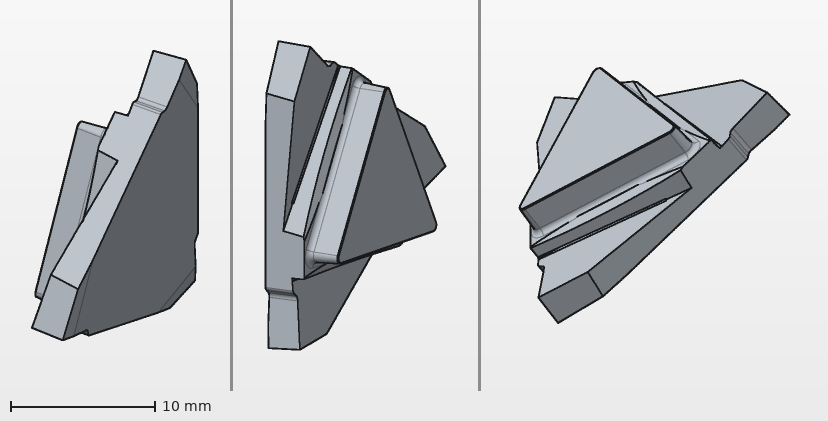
import cadquery as cq
import math

TURNS = (0, 120, 240)

total_height = 5.53
plate_height = 3.19
side_distance = 7.1
notch_start = (-side_distance, -6.03)
notch_lip_middle = (-7.06, -6.15)
notch_lip_end = (-6.95, -6.27)
notch_slope_end = (-6.72, -6.48)
notch_corner_middle = (-6.63, -6.63)
notch_end = (-6.6, -6.83)
tip = (-6.87, -10.4)
bend_u = -3.15
tip_relief = 0.22
flank_relief = 0.06

wall_distance = 5.17
wing_tip_height = 2.65
wing_slope_u = 0.058
wing_slope_v = 0.094
wall_draft = 4.0
wall_mid_height = 2.15
strip_width = 0.2
strip_rise = 0.09
strip_end_u = 3.15
back_tilt_length = 1.5
back_tilt_drop = 0.1

boss_distance = 3.92
boss_corner_radius = 0.43
boss_draft = 4.0
boss_edge_chamfer = 0.06
base_fillet = 0.43

scoop_radius = 86.12
scoop_depth = 0.32
scoop_centre_u = -0.65
scoop_run = 0.86

margin = 21.53


def turned(point, angle):
    """Turn a flat point about the centre."""
    c = math.cos(math.radians(angle))
    s = math.sin(math.radians(angle))
    return (point[0] * c - point[1] * s, point[0] * s + point[1] * c)


def body_outline(work, flank_inset, tip_inset):
    """Outline of the three-tipped body, with the tips drawn in."""
    bend_v = (bend_u - 2 * side_distance) / math.sqrt(3)
    slope_end = (notch_slope_end[0] + flank_inset, notch_slope_end[1])
    corner_middle = (notch_corner_middle[0] + flank_inset, notch_corner_middle[1])
    corner_end = (notch_end[0] + flank_inset, notch_end[1])
    tip_point = (tip[0] + flank_inset, tip[1] + tip_inset)
    bend = (bend_u + tip_inset * math.sqrt(3), bend_v + tip_inset)
    work = work.moveTo(*notch_start)
    for angle in TURNS:
        if angle:
            work = work.lineTo(*turned(notch_start, angle))
        work = work.threePointArc(turned(notch_lip_middle, angle), turned(notch_lip_end, angle))
        work = work.lineTo(*turned(slope_end, angle))
        work = work.threePointArc(turned(corner_middle, angle), turned(corner_end, angle))
        work = work.lineTo(*turned(tip_point, angle))
        work = work.lineTo(*turned(bend, angle))
    return work.close()


def make_body():
    back = body_outline(cq.Workplane("XY"), 0, 0)
    both = body_outline(back.workplane(offset=plate_height), flank_relief, tip_relief)
    return both.loft(ruled=True, combine=True)


def boss_with_fillet(body):
    boss_height = total_height - plate_height
    base_distance = boss_distance + boss_height * math.tan(math.radians(boss_draft))
    profile = (
        cq.Sketch()
        .regularPolygon(2 * base_distance, 3, angle=0)
        .vertices()
        .fillet(boss_corner_radius + base_distance - boss_distance)
    )
    boss = (
        cq.Workplane("XY", origin=(0, 0, plate_height))
        .placeSketch(profile)
        .extrude(boss_height, taper=boss_draft)
        .faces(">Z")
        .chamfer(boss_edge_chamfer)
    )
    joined = body.union(boss)
    plate_face = joined.faces("|Z").faces(cq.selectors.NearestToPointSelector((0, 0, plate_height)))
    return joined.newObject([plate_face.val().innerWires()[0]]).edges().fillet(base_fillet)


def wing_height(u, v):
    return wing_tip_height - wing_slope_u * (u - tip[0]) - wing_slope_v * (v - tip[1])


def wing_cutter():
    """Space in front of one sloping wing, less the strip left in the corner."""
    slope = cq.Plane(
        origin=(tip[0], tip[1], wing_tip_height),
        xDir=(1, 0, -wing_slope_u),
        normal=(wing_slope_u, wing_slope_v, 1),
    )
    above = cq.Workplane(slope).rect(2 * margin, 2 * margin).extrude(margin)
    wall_lean = wall_mid_height * math.tan(math.radians(wall_draft))
    outside = (
        cq.Workplane("YZ", origin=(-margin, 0, 0))
        .polyline(
            [
                (-wall_distance - wall_lean, 0),
                (-wall_distance + wall_lean, 2 * wall_mid_height),
                (-margin, 2 * wall_mid_height),
                (-margin, 0),
            ]
        )
        .close()
        .extrude(2 * margin)
    )

    def strip_section(u):
        foot = wing_height(u, -wall_distance)
        outer = -wall_distance - strip_width
        return cq.Wire.makePolygon(
            [
                cq.Vector(u, -wall_distance, foot + strip_rise),
                cq.Vector(u, outer, wing_height(u, outer)),
                cq.Vector(u, -wall_distance, foot),
            ],
            close=True,
        )

    strip = cq.Solid.makeLoft([strip_section(-side_distance - 0.22), strip_section(strip_end_u)], True)
    return above.intersect(outside).cut(cq.Workplane(strip))


def back_tilt_cutter():
    """Thin wedge that slopes the back face away towards the tip edge."""
    start = tip[1] + back_tilt_length
    reach = 2 * back_tilt_length
    drop = back_tilt_drop * reach / back_tilt_length
    return (
        cq.Workplane("YZ", origin=(-2 * side_distance, 0, 0))
        .polyline([(start, 0), (start - reach, drop), (start - reach, 0)])
        .close()
        .extrude(4 * side_distance)
    )


def scoop_cutter():
    """Large inclined cylinder, deeper at the wall than at the boss."""
    incline = math.atan2(scoop_depth, scoop_run)
    axis = cq.Vector(0, -math.cos(incline), -math.sin(incline))
    normal_up = cq.Vector(0, -math.sin(incline), math.cos(incline))
    lowest = cq.Vector(scoop_centre_u, -wall_distance, plate_height - scoop_depth)
    start = lowest + normal_up * scoop_radius - axis * scoop_run
    return cq.Workplane(cq.Solid.makeCylinder(scoop_radius, 3 * scoop_run, start, axis))


part = boss_with_fillet(make_body())
for angle in TURNS:
    for cutter in (wing_cutter(), back_tilt_cutter(), scoop_cutter()):
        part = part.cut(cutter.rotate((0, 0, 0), (0, 0, 1), angle))

upright = cq.Plane(origin=(0, 0, 0), xDir=(0, -1, 0), normal=(-1, 0, 0))
result = cq.Workplane(part.val().moved(upright.location))